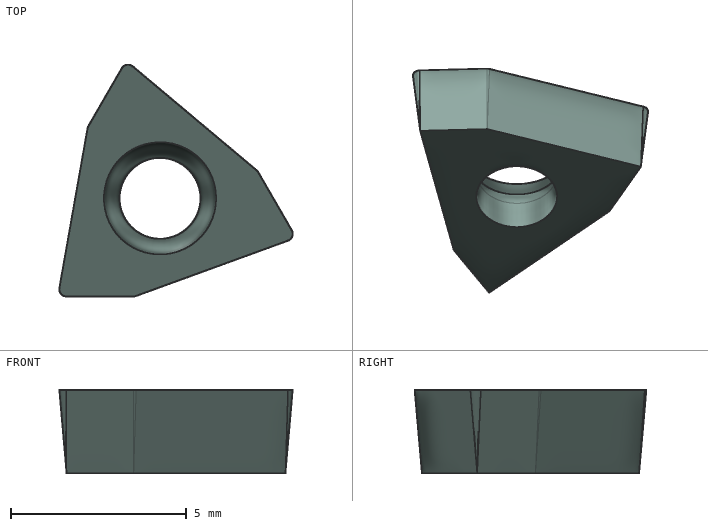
import cadquery as cq
import math

thickness = 2.38
inscribed_radius = 2.3825
short_edge_distance = 2.798
corner_angle = 80.0
relief_angle = 5.0
sides = 3

seat_radius = 1.6
seat_depth = 0.51
bore_radius = 1.15
throat_arc_radius = 1.0

bottom_z = -thickness / 2
top_z = thickness / 2
short_normal_angle = -90.0
long_normal_angle = short_normal_angle - (180.0 - corner_angle)
sector_angle = 360.0 / sides


def line_crossing(angle_a, distance_a, angle_b, distance_b):
    """Crossing of two lines, each given by its normal direction and distance from the axis."""
    a = math.radians(angle_a)
    b = math.radians(angle_b)
    spread = math.sin(b - a)
    x = (distance_a * math.sin(b) - distance_b * math.sin(a)) / spread
    y = (distance_b * math.cos(a) - distance_a * math.cos(b)) / spread
    return x, y


def make_body():
    """Sharp-cornered base flared upwards; its corners open into cones with their points at the base."""
    flare = thickness * math.tan(math.radians(relief_angle))
    short_distance = short_edge_distance - flare
    long_distance = inscribed_radius - flare
    base_points = []
    for side in range(sides):
        short_normal = short_normal_angle + side * sector_angle
        long_normal = long_normal_angle + side * sector_angle
        next_long_normal = long_normal + sector_angle
        base_points.append(line_crossing(long_normal, long_distance, short_normal, short_distance))
        base_points.append(line_crossing(short_normal, short_distance, next_long_normal, long_distance))
    return (
        cq.Workplane("XY", origin=(0, 0, bottom_z))
        .polyline(base_points)
        .close()
        .extrude(thickness, taper=-relief_angle)
    )


def make_hole():
    """Revolved cutter for the seat, the rounded throat and the bore."""
    arc_center_radius = bore_radius + throat_arc_radius
    throat_top_z = top_z - seat_depth
    throat_height = math.sqrt(throat_arc_radius**2 - (arc_center_radius - seat_radius) ** 2)
    throat_bottom_z = throat_top_z - throat_height
    half_sweep = math.asin(throat_height / throat_arc_radius) / 2
    throat_middle = (
        arc_center_radius - throat_arc_radius * math.cos(half_sweep),
        throat_bottom_z + throat_arc_radius * math.sin(half_sweep),
    )
    return (
        cq.Workplane("XZ")
        .moveTo(0, top_z)
        .lineTo(seat_radius, top_z)
        .lineTo(seat_radius, throat_top_z)
        .threePointArc(throat_middle, (bore_radius, throat_bottom_z))
        .lineTo(bore_radius, bottom_z)
        .lineTo(0, bottom_z)
        .close()
        .revolve(360, (0, 0, 0), (0, 1, 0))
    )


result = make_body().cut(make_hole())